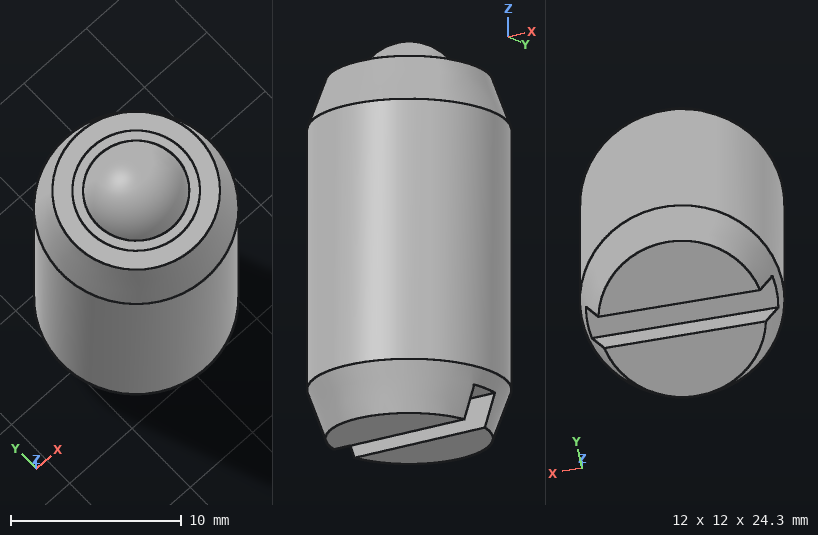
import cadquery as cq
import math

total_height = 24.3
housing_diameter = 12.0
housing_height = 22.0
taper_height = 3.0
taper_angle = 20.0
slot_width = 2.0
slot_depth = 2.0
ball_radius = 3.25
sleeve_radius = 3.75

housing_radius = housing_diameter / 2
end_radius = housing_radius - taper_height * math.tan(math.radians(taper_angle))
ball_center_z = total_height - ball_radius
sleeve_wall = sleeve_radius - ball_radius
sleeve_bottom_z = ball_center_z - ball_radius - sleeve_wall
sleeve_height = housing_height - sleeve_bottom_z


def sleeve_blank():
    """Solid cylinder filling the recess in the top of the housing."""
    return cq.Workplane("XY").workplane(offset=sleeve_bottom_z).circle(sleeve_radius).extrude(sleeve_height)


def make_ball():
    """Ball that stands proud of the housing's top face."""
    return cq.Workplane("XY").sphere(ball_radius).translate((0, 0, ball_center_z))


def make_sleeve():
    """Closed-bottom sleeve whose spherical seat retains the ball."""
    return sleeve_blank().cut(make_ball())


def make_housing():
    """Cylinder tapered at both ends, with a sleeve recess and a driver slot."""
    body = (
        cq.Workplane("XZ")
        .moveTo(0, 0)
        .lineTo(end_radius, 0)
        .lineTo(housing_radius, taper_height)
        .lineTo(housing_radius, housing_height - taper_height)
        .lineTo(end_radius, housing_height)
        .lineTo(0, housing_height)
        .close()
        .revolve(360, (0, 0, 0), (0, 1, 0))
    )
    slot = cq.Workplane("XY").box(housing_diameter, slot_width, slot_depth, centered=(True, True, False))
    return body.cut(slot).cut(sleeve_blank())


housing = make_housing()
sleeve = make_sleeve()
ball = make_ball()

result = cq.Compound.makeCompound([housing.val(), sleeve.val(), ball.val()])